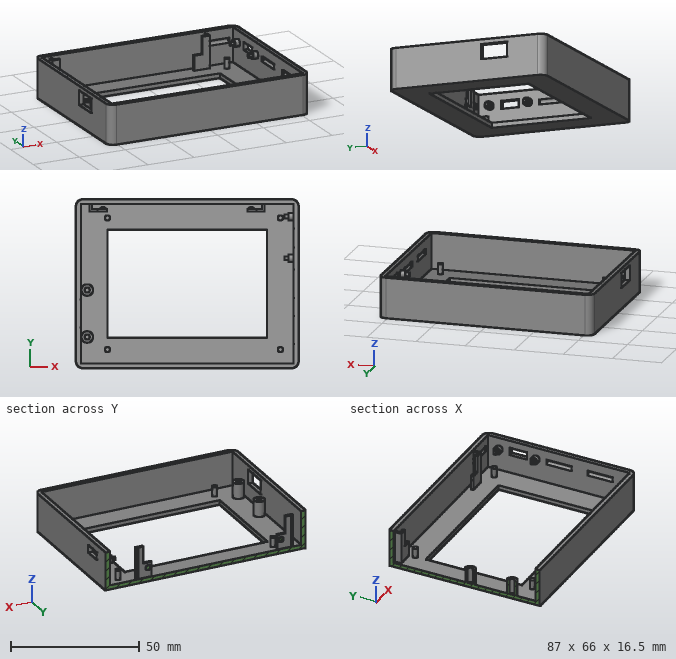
import cadquery as cq

LENGTH = 87.0
WIDTH = 66.0
HEIGHT = 16.5
WALL = 2.0
FLOOR = 2.0
CORNER_RADIUS = 3.0
INNER_X = LENGTH / 2 - WALL
INNER_Y = WIDTH / 2 - WALL

WINDOW_LENGTH = 62.0
WINDOW_WIDTH = 42.0

PIN_DIAMETER = 2.0
PIN_HEIGHT = 4.0
PIN_SPACING_X = 67.4
PIN_SPACING_Y = 51.3
PIN_CENTER_X = 2.6

BOSS_DIAMETER = 4.5
BOSS_HOLE_DIAMETER = 2.0
BOSS_TOP = 8.5
BOSS_X = -39.0
BOSS_SPACING = 18.3
CONNECTOR_Y = -11.6
CONNECTOR_WIDTH = 11.0
CONNECTOR_HEIGHT = 6.0
CONNECTOR_BOTTOM = 8.6

PEG_DIAMETER = 3.0
PEG_LENGTH = 2.0
PEG_TIP_DIAMETER = 1.5
PEG_TIP_LENGTH = 1.5
PEG_SPACING = 16.2
PEG_CENTER_Y = 18.05
PORT_Y = 17.8
PEG_Z = 11.5
PORT_Z = 11.6
PORT_WIDTH = 7.5
PORT_HEIGHT = 3.2

GROOVE_DIAMETER = 2.0
GROOVE_LENGTH = 11.0
GROOVE_Z = 11.2
SIDE_GROOVE_CENTERS_Y = (0.0, -18.0)
BACK_GROOVE_CENTER_X = 34.5

BRACKET_CENTER_X = -3.95
BRACKET_SPAN = 68.3
BRACKET_WIDTH = 6.8
BRACKET_REACH = 2.8
BRACKET_THICKNESS = 1.0
BRACKET_POST_WIDTH = 3.2
BRACKET_TOP = 15.5
BRACKET_STEP_TOP = 8.2
BUMP_RADIUS = 1.2
BUMP_HEIGHT = 0.7
BUMP_INSET = 5.25
BUMP_Z = 6.0


def block(x_range, y_range, z_range):
    """Axis-aligned box given by its limits along each axis."""
    (x0, x1), (y0, y1), (z0, z1) = x_range, y_range, z_range
    return cq.Workplane("XY").box(x1 - x0, y1 - y0, z1 - z0, centered=False).translate((x0, y0, z0))


def cylinder(diameter, length, start, direction):
    """Round bar from a start point along a direction."""
    return cq.Workplane(cq.Solid.makeCylinder(diameter / 2, length, cq.Vector(*start), cq.Vector(*direction)))


def make_shell():
    outer = cq.Workplane("XY").box(LENGTH, WIDTH, HEIGHT, centered=(True, True, False))
    outer = outer.edges("|Z").fillet(CORNER_RADIUS)
    cavity = block((-INNER_X, INNER_X), (-INNER_Y, INNER_Y), (FLOOR, HEIGHT))
    window = cq.Workplane("XY").box(WINDOW_LENGTH, WINDOW_WIDTH, HEIGHT)
    return outer.cut(cavity).cut(window)


def add_floor_pins(body):
    for side_x in (-1, 1):
        for side_y in (-1, 1):
            base = (PIN_CENTER_X + side_x * PIN_SPACING_X / 2, side_y * PIN_SPACING_Y / 2, 0)
            body = body.union(cylinder(PIN_DIAMETER, FLOOR + PIN_HEIGHT, base, (0, 0, 1)))
    return body


def add_bosses(body):
    for side in (-1, 1):
        boss_y = CONNECTOR_Y + side * BOSS_SPACING / 2
        boss = cylinder(BOSS_DIAMETER, BOSS_TOP, (BOSS_X, boss_y, 0), (0, 0, 1))
        hole = cylinder(BOSS_HOLE_DIAMETER, BOSS_TOP - FLOOR, (BOSS_X, boss_y, FLOOR), (0, 0, 1))
        body = body.union(boss).cut(hole)
    return body


def add_pegs(body):
    for side in (-1, 1):
        peg_y = PEG_CENTER_Y + side * PEG_SPACING / 2
        root = (INNER_X + WALL / 2, peg_y, PEG_Z)
        full_length = WALL / 2 + PEG_LENGTH
        body = body.union(cylinder(PEG_DIAMETER, full_length, root, (-1, 0, 0)))
        body = body.union(cylinder(PEG_TIP_DIAMETER, full_length + PEG_TIP_LENGTH, root, (-1, 0, 0)))
    return body


def make_bracket():
    """The bracket at the +X end: an L-shaped post, a lower tongue and a bump on the tongue."""
    end_x = BRACKET_CENTER_X + BRACKET_SPAN / 2
    front_y = INNER_Y - BRACKET_REACH
    back_y = front_y + BRACKET_THICKNESS
    wall_y = INNER_Y + WALL / 2
    post_x = end_x - BRACKET_POST_WIDTH
    side = block((end_x - BRACKET_THICKNESS, end_x), (front_y, wall_y), (0, BRACKET_TOP))
    post = block((post_x, end_x), (front_y, back_y), (0, BRACKET_TOP))
    tongue = block((end_x - BRACKET_WIDTH, end_x), (front_y, back_y), (0, BRACKET_STEP_TOP))
    bump_center = (end_x - BUMP_INSET, back_y + BUMP_HEIGHT - BUMP_RADIUS, BUMP_Z)
    ball = cq.Workplane("XY").sphere(BUMP_RADIUS).translate(bump_center)
    bump = ball.intersect(block((end_x - BRACKET_WIDTH, end_x), (front_y, INNER_Y), (0, BRACKET_TOP)))
    return side.union(post).union(tongue).union(bump)


def add_brackets(body):
    bracket = make_bracket()
    mirrored = bracket.mirror("YZ", (BRACKET_CENTER_X, 0, 0))
    return body.union(bracket).union(mirrored)


def cut_wall_openings(body):
    connector = block(
        (-LENGTH / 2, -INNER_X),
        (CONNECTOR_Y - CONNECTOR_WIDTH / 2, CONNECTOR_Y + CONNECTOR_WIDTH / 2),
        (CONNECTOR_BOTTOM, CONNECTOR_BOTTOM + CONNECTOR_HEIGHT),
    )
    port = block(
        (INNER_X, LENGTH / 2),
        (PORT_Y - PORT_WIDTH / 2, PORT_Y + PORT_WIDTH / 2),
        (PORT_Z - PORT_HEIGHT / 2, PORT_Z + PORT_HEIGHT / 2),
    )
    return body.cut(connector).cut(port)


def cut_grooves(body):
    for center_y in SIDE_GROOVE_CENTERS_Y:
        start = (INNER_X, center_y - GROOVE_LENGTH / 2, GROOVE_Z)
        body = body.cut(cylinder(GROOVE_DIAMETER, GROOVE_LENGTH, start, (0, 1, 0)))
    start = (BACK_GROOVE_CENTER_X - GROOVE_LENGTH / 2, INNER_Y, GROOVE_Z)
    return body.cut(cylinder(GROOVE_DIAMETER, GROOVE_LENGTH, start, (1, 0, 0)))


shell = cut_grooves(cut_wall_openings(make_shell()))
result = add_brackets(add_pegs(add_bosses(add_floor_pins(shell))))